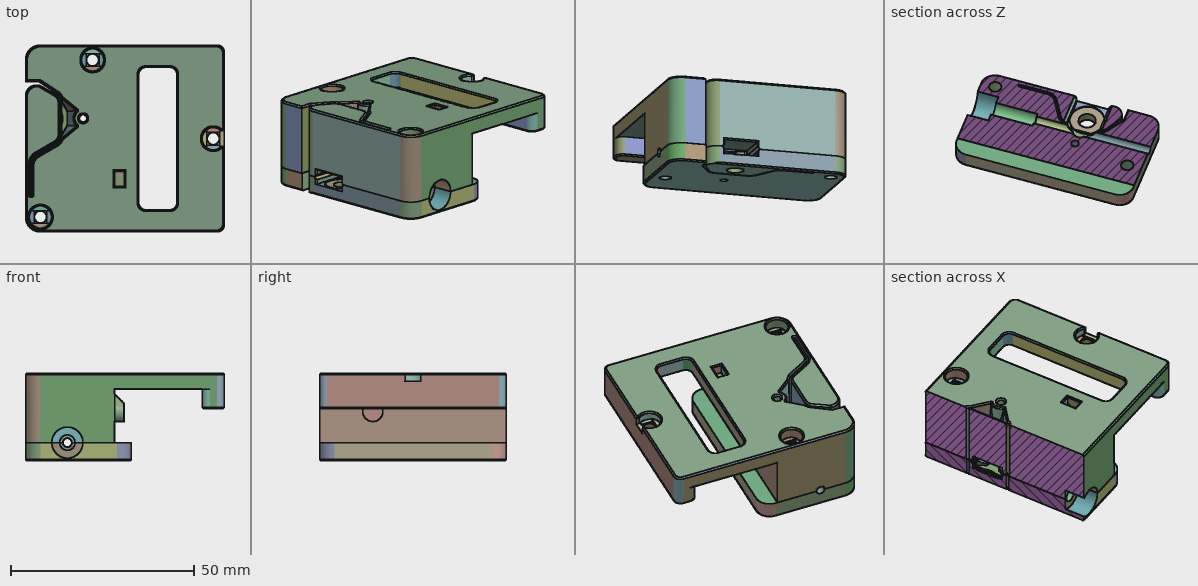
import cadquery as cq
import math

PLATE_X = 54.3
DEPTH_Y = 51.0
HEIGHT = 24.0
SPLIT_Z = 5.0
PLATE_THICKNESS = 4.4
BLOCK_X = 24.3
COVER_X = 28.9
LARGE_CORNER_R = 4.0
SMALL_CORNER_R = 2.0
TOP_CHAMFER = 0.45
BOTTOM_CHAMFER = 0.4
RIM_CHAMFER = 0.4
PLATE_BOTTOM_Z = HEIGHT - PLATE_THICKNESS
OVERCUT = 1.0

LEG_X = 48.2
LEG_BOTTOM_Z = 14.3

SCREW_D = 3.3
SCREW_HEAD_D = 6.1
SCREW_HEAD_DEPTH = 3.3
LEG_HEAD_DEPTH = 2.3
BRIDGE_WIDTH = 3.5
BRIDGE_LAYER = 0.3
BACK_SCREW = (18.3, 46.95)
FRONT_SCREW = (4.05, 4.05)
LEG_SCREW = (51.25, 25.45)
LEG_HEAD_EXIT_WIDTH = 4.2

SLOT_X = (30.9, 41.35)
SLOT_Y = (6.0, 44.95)
SLOT_CORNER_R = 2.0
POCKET_X = (24.3, 27.0)
POCKET_Y = (12.45, 16.6)
POCKET_DEPTH = 3.0
POCKET_FILLET = 1.0
POCKET_CHAMFER = 0.35
PIN_HOLE = (15.7, 31.0)
PIN_HOLE_D = 2.0

LEVER_SLOPE = math.radians(30)
LEVER_NECK_X = 1.2
LEVER_NECK_Y = 20.35
LEVER_RIGHT_X = 9.35
LEVER_TOP_Y = 40.1
LEVER_TOP_BEND_X = 3.7
LEVER_CORNER_R = 3.0
LEVER_NECK_R = 3.5
LEVER_NOSE_R = 2.5
SLIT_END_Y = 9.9
HOUSING_SLIT = 0.6
COVER_SLIT = 0.45
HOUSING_MOUTH_Y = 41.15
COVER_MOUTH_Y = 41.0

MID_Y = PIN_HOLE[1]
BAY_START_X = 9.7
BAY_TOP_END_X = 14.0
BAY_TOP_HALF_WIDTHS = (5.65, 2.1)
BAY_LOW_END_X = 11.4
BAY_LOW_HALF_WIDTHS = (4.65, 1.93)
BAY_HUB_R = 2.7
CAVITY_Z = (3.0, 7.0)

WINDOW_WIDTH = 9.3
WINDOW_CHAMFER = 0.4
WINDOW_GROOVE = 0.35
ROLLER_X = 5.4
ROLLER_D = 9.5
ROLLER_RECESS = 0.3
ROLLER_AXLE_D = 4.7
ROLLER_CLEARANCE_D = 12.4

BORE_X = 11.4
BORE_D = 2.4
TUBE_D = 4.2
TUBE_DEPTH = 18.0
FITTING_D = 8.5
FITTING_DEPTH = 6.0

BOSS_X = 26.9
BOSS_R = 2.75
BOSS_AXIS_Z = 13.5
BOSS_ROOF_ANGLE = math.radians(30)
BOSS_OUTER_TOP_Z = 15.7
BOSS_Y = (POCKET_Y[0] + POCKET_Y[1]) / 2


def box(x, y, z):
    """Box between the (low, high) limits of each axis."""
    return (
        cq.Workplane("XY")
        .box(x[1] - x[0], y[1] - y[0], z[1] - z[0], centered=False)
        .translate((x[0], y[0], z[0]))
    )


def cylinder(place, diameter, low, high):
    """Upright cylinder between two heights."""
    return cq.Workplane("XY", origin=(*place, low)).circle(diameter / 2).extrude(high - low)


def y_cylinder(diameter, length):
    """Cylinder on the filament axis, starting at the front face."""
    return (
        cq.Workplane("XZ", origin=(BORE_X, 0, SPLIT_Z)).circle(diameter / 2).extrude(-length)
    )


def rim_chamfer(place, diameter, size):
    """Cone that chamfers a round hole at the top face."""
    return (
        cq.Workplane("XY", origin=(*place, HEIGHT))
        .circle(diameter / 2 + size)
        .extrude(-size, taper=45)
    )


def flared_opening(x, y, depth, corner_r, chamfer):
    """Rectangular opening sunk from the top face, with a chamfered rim."""
    opening = box(x, y, (HEIGHT - depth, HEIGHT))
    if corner_r:
        opening = opening.edges("|Z").fillet(corner_r)
    rim = (
        opening.faces(">Z")
        .wires()
        .toPending()
        .offset2D(chamfer, "intersection")
        .extrude(-chamfer, combine=False, taper=45)
    )
    return opening.union(rim)


def lever_nose():
    """Heights along Y of the two sharp corners of the lever's nose."""
    run = LEVER_RIGHT_X - LEVER_NECK_X
    nose_low = LEVER_NECK_Y + run * math.tan(LEVER_SLOPE)
    nose_high = LEVER_TOP_Y - (LEVER_RIGHT_X - LEVER_TOP_BEND_X) * math.tan(LEVER_SLOPE)
    return nose_low, nose_high


def lever_prism(grow=0.0):
    """Full-height prism of the lever, optionally grown all round."""
    nose_low, nose_high = lever_nose()
    prism = (
        cq.Workplane("XY")
        .polyline([
            (0, 0),
            (LEVER_NECK_X, 0),
            (LEVER_NECK_X, LEVER_NECK_Y),
            (LEVER_RIGHT_X, nose_low),
            (LEVER_RIGHT_X, nose_high),
            (LEVER_TOP_BEND_X, LEVER_TOP_Y),
            (0, LEVER_TOP_Y),
        ])
        .close()
        .extrude(HEIGHT)
    )

    def round_edge(solid, x, y, radius):
        return solid.edges(cq.selectors.NearestToPointSelector((x, y, HEIGHT / 2))).fillet(radius)

    prism = round_edge(prism, LEVER_NECK_X, LEVER_NECK_Y, LEVER_NECK_R)
    prism = round_edge(prism, LEVER_RIGHT_X, nose_low, LEVER_NOSE_R)
    prism = round_edge(prism, LEVER_RIGHT_X, nose_high, LEVER_NOSE_R)
    prism = round_edge(prism, 0, LEVER_TOP_Y, LEVER_CORNER_R)
    if grow:
        prism = prism.faces(">Z").wires().toPending().offset2D(grow).extrude(-HEIGHT)
    return prism


def slit_cutter(slit, mouth_y):
    """Gap round the lever: an even slit that widens from the nose to its mouth on the left side."""
    end = (LEVER_NECK_X + slit / 2, SLIT_END_Y + slit / 2)
    kept = box((-OVERCUT, PLATE_X), (end[1], DEPTH_Y), (0, HEIGHT))
    grown = lever_prism(slit).intersect(kept)
    _, nose_high = lever_nose()
    tangent = LEVER_NOSE_R * math.tan(LEVER_SLOPE)
    nose_x = LEVER_RIGHT_X - tangent * math.cos(LEVER_SLOPE)
    nose_y = nose_high + tangent * math.sin(LEVER_SLOPE)
    mouth = (
        cq.Workplane("XY")
        .polyline([
            (-OVERCUT, LEVER_TOP_Y - LEVER_CORNER_R),
            (-OVERCUT, mouth_y),
            (LEVER_TOP_BEND_X, mouth_y),
            (nose_x + slit * math.sin(LEVER_SLOPE), nose_y + slit * math.cos(LEVER_SLOPE)),
            (nose_x, nose_y),
        ])
        .close()
        .extrude(HEIGHT)
    )
    return grown.union(mouth).union(cylinder(end, slit, 0, HEIGHT)).cut(lever_prism())


def trapezoid(half_widths, end_x):
    start, end = half_widths
    return [
        (BAY_START_X, MID_Y - start),
        (end_x, MID_Y - end),
        (end_x, MID_Y + end),
        (BAY_START_X, MID_Y + start),
    ]


def bay_cutter():
    """Wedge-shaped bay that narrows downwards, then opens into a round roller clearance."""
    funnel = (
        cq.Workplane("XY", origin=(0, 0, CAVITY_Z[1]))
        .polyline(trapezoid(BAY_LOW_HALF_WIDTHS, BAY_LOW_END_X))
        .close()
        .workplane(offset=HEIGHT - CAVITY_Z[1])
        .polyline(trapezoid(BAY_TOP_HALF_WIDTHS, BAY_TOP_END_X))
        .close()
        .loft(ruled=True)
        .cut(cylinder(PIN_HOLE, 2 * BAY_HUB_R, 0, HEIGHT))
    )
    clearance = cylinder((ROLLER_X, MID_Y), ROLLER_CLEARANCE_D, *CAVITY_Z)
    beside_lever = box((BAY_START_X, BAY_TOP_END_X), (0, DEPTH_Y), CAVITY_Z)
    round_end = cylinder((BAY_LOW_END_X, MID_Y), 2 * BAY_LOW_HALF_WIDTHS[1], *CAVITY_Z)
    return funnel.union(clearance.intersect(beside_lever)).union(round_end).cut(lever_prism())


def bay_rim():
    """Chamfer round the top of the bay, including the curved wall beside the pin hole."""
    rim = (
        cq.Workplane("XY", origin=(0, 0, HEIGHT))
        .polyline(trapezoid(BAY_TOP_HALF_WIDTHS, BAY_TOP_END_X))
        .close()
        .offset2D(RIM_CHAMFER, "intersection")
        .extrude(-RIM_CHAMFER, taper=45)
    )
    hub = (
        cq.Workplane("XY", origin=(*PIN_HOLE, HEIGHT - RIM_CHAMFER))
        .circle(BAY_HUB_R)
        .extrude(RIM_CHAMFER, taper=45)
    )
    return rim.cut(hub).cut(lever_prism())


def roller_window():
    """Window through the lever, its flared mouth, side grooves at the joint and roller seat."""
    half = WINDOW_WIDTH / 2
    depth = LEVER_RIGHT_X + HOUSING_SLIT
    window = box((0, depth), (MID_Y - half, MID_Y + half), CAVITY_Z)
    low_z, high_z = CAVITY_Z
    outer_half = half + WINDOW_CHAMFER
    flare = (
        cq.Workplane("YZ")
        .polyline([
            (MID_Y - outer_half, low_z),
            (MID_Y + outer_half, low_z),
            (MID_Y + outer_half, high_z + WINDOW_CHAMFER),
            (MID_Y - outer_half, high_z + WINDOW_CHAMFER),
        ])
        .close()
        .workplane(offset=WINDOW_CHAMFER)
        .polyline([
            (MID_Y - half, low_z),
            (MID_Y + half, low_z),
            (MID_Y + half, high_z),
            (MID_Y - half, high_z),
        ])
        .close()
        .loft(ruled=True)
    )
    cutter = window.union(flare)
    for side in (-1, 1):
        groove = (
            cq.Workplane("YZ", origin=(0, MID_Y + side * half, SPLIT_Z))
            .polygon(4, 2 * (WINDOW_CHAMFER + WINDOW_GROOVE))
            .extrude(LEVER_RIGHT_X)
        )
        cutter = cutter.union(groove)
    seat = cylinder((ROLLER_X, MID_Y), ROLLER_D, low_z - ROLLER_RECESS, low_z)
    axle = cylinder((ROLLER_X, MID_Y), ROLLER_AXLE_D, 0, low_z)
    return cutter.union(seat).union(axle)


def filament_bore():
    bore = y_cylinder(BORE_D, DEPTH_Y)
    tube = y_cylinder(TUBE_D, TUBE_DEPTH)
    fitting = y_cylinder(FITTING_D, FITTING_DEPTH)
    return bore.union(tube).union(fitting)


def screw_cutter(place, head_depth, slot_along_x):
    """Counterbored screw hole with two thin stepped layers below the head seat."""
    seat_z = HEIGHT - head_depth
    square_z = seat_z - 2 * BRIDGE_LAYER
    half = BRIDGE_WIDTH / 2
    x, y = place
    head = cylinder(place, SCREW_HEAD_D, seat_z, HEIGHT)
    head_shadow = cylinder(place, SCREW_HEAD_D, seat_z - BRIDGE_LAYER, seat_z)
    long_half = SCREW_HEAD_D / 2
    reach_x, reach_y = (long_half, half) if slot_along_x else (half, long_half)
    slot = box(
        (x - reach_x, x + reach_x), (y - reach_y, y + reach_y), (seat_z - BRIDGE_LAYER, seat_z)
    ).intersect(head_shadow)
    square = box((x - half, x + half), (y - half, y + half), (square_z, seat_z))
    shank = cylinder(place, SCREW_D, 0, HEIGHT)
    rim = rim_chamfer(place, SCREW_HEAD_D, RIM_CHAMFER)
    return head.union(slot).union(square).union(shank).union(rim)


def leg_head_exit():
    """Slot that opens the leg's screw recess to the right side of the plate."""
    half = LEG_HEAD_EXIT_WIDTH / 2
    return box(
        (LEG_SCREW[0], PLATE_X),
        (LEG_SCREW[1] - half, LEG_SCREW[1] + half),
        (HEIGHT - LEG_HEAD_DEPTH, HEIGHT),
    )


def side_boss():
    """Teardrop boss whose peak is cut by a slope that rises to the block at 45 degrees."""
    length = BOSS_X - BLOCK_X
    side_y = BOSS_R * math.cos(BOSS_ROOF_ANGLE)
    side_z = BOSS_AXIS_Z + BOSS_R * math.sin(BOSS_ROOF_ANGLE)
    peak_z = BOSS_AXIS_Z + BOSS_R / math.sin(BOSS_ROOF_ANGLE)
    teardrop = (
        cq.Workplane("YZ", origin=(BLOCK_X, 0, 0))
        .moveTo(BOSS_Y - side_y, side_z)
        .threePointArc((BOSS_Y, BOSS_AXIS_Z - BOSS_R), (BOSS_Y + side_y, side_z))
        .lineTo(BOSS_Y, peak_z)
        .close()
        .extrude(length)
    )
    below_slope = (
        cq.Workplane("XZ", origin=(0, DEPTH_Y, 0))
        .polyline([
            (BLOCK_X, 0),
            (BOSS_X, 0),
            (BOSS_X, BOSS_OUTER_TOP_Z),
            (BLOCK_X, BOSS_OUTER_TOP_Z + length),
        ])
        .close()
        .extrude(DEPTH_Y)
    )
    return teardrop.intersect(below_slope)


def make_housing():
    depth = (0, DEPTH_Y)
    plate = box((0, PLATE_X), depth, (PLATE_BOTTOM_Z, HEIGHT))
    plate = plate.edges("|Z and <X").fillet(LARGE_CORNER_R)
    plate = plate.edges("|Z and >X").fillet(SMALL_CORNER_R)
    block = box((0, BLOCK_X), depth, (SPLIT_Z, HEIGHT))
    block = block.edges("|Z and <X").fillet(LARGE_CORNER_R)
    leg = box((LEG_X, PLATE_X), depth, (LEG_BOTTOM_Z, HEIGHT))
    leg = leg.edges("|Z").fillet(SMALL_CORNER_R)
    leg = leg.faces("<Z").chamfer(BOTTOM_CHAMFER)
    body = plate.union(block).union(leg)
    body = body.cut(slit_cutter(HOUSING_SLIT, HOUSING_MOUTH_Y))
    body = body.faces(">Z").chamfer(TOP_CHAMFER)
    body = body.cut(bay_cutter()).cut(bay_rim())
    body = body.union(side_boss())

    body = body.cut(flared_opening(SLOT_X, SLOT_Y, PLATE_THICKNESS, SLOT_CORNER_R, RIM_CHAMFER))
    pocket = flared_opening(POCKET_X, POCKET_Y, POCKET_DEPTH, 0, POCKET_CHAMFER)
    body = body.cut(pocket.faces("<Z").edges(">Y").fillet(POCKET_FILLET))
    body = body.cut(cylinder(PIN_HOLE, PIN_HOLE_D, 0, HEIGHT))
    body = body.cut(rim_chamfer(PIN_HOLE, PIN_HOLE_D, TOP_CHAMFER))
    body = body.cut(leg_head_exit())
    for place in (BACK_SCREW, FRONT_SCREW):
        body = body.cut(screw_cutter(place, SCREW_HEAD_DEPTH, slot_along_x=True))
    body = body.cut(screw_cutter(LEG_SCREW, LEG_HEAD_DEPTH, slot_along_x=False))
    return body.cut(filament_bore()).cut(roller_window())


def make_cover():
    body = box((0, COVER_X), (0, DEPTH_Y), (0, SPLIT_Z))
    body = body.edges("|Z").fillet(LARGE_CORNER_R)
    body = body.faces("<Z").chamfer(BOTTOM_CHAMFER)
    body = body.cut(slit_cutter(COVER_SLIT, COVER_MOUTH_Y)).cut(bay_cutter())
    for place in (BACK_SCREW, FRONT_SCREW):
        body = body.cut(cylinder(place, SCREW_D, 0, SPLIT_Z))
    body = body.cut(cylinder(PIN_HOLE, PIN_HOLE_D, 0, SPLIT_Z))
    return body.cut(filament_bore()).cut(roller_window())


housing = make_housing()
cover = make_cover()
result = cq.Compound.makeCompound([housing.solids().val(), cover.solids().val()])